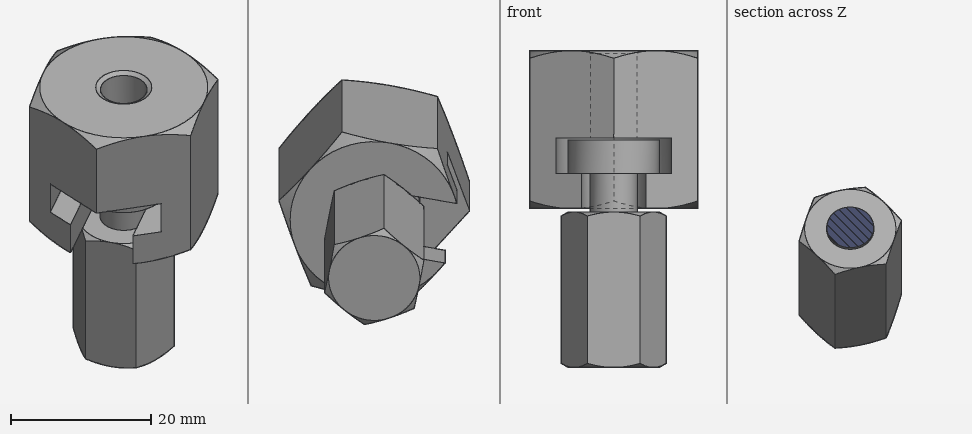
import cadquery as cq
import math

HOUSING_FLATS = 24.0
HOUSING_HEIGHT = 22.5
BORE_DIAMETER = 6.65
BORE_MOUTH_DIAMETER = 8.0

HEAD_SLOT_WIDTH = 16.5
HEAD_SLOT_HEIGHT = 5.0
NECK_SLOT_WIDTH = 9.25
LIP_HEIGHT = 5.0

PIN_FLATS = 13.0
HEAD_DIAMETER = 13.0
HEAD_CLEARANCE = 0.25
NECK_DIAMETER = 6.8
SHANK_GAP = 0.5

TOTAL_HEIGHT = 45.2
CHAMFER_ANGLE = 30.0

housing_bottom = TOTAL_HEIGHT - HOUSING_HEIGHT
slot_floor = housing_bottom + LIP_HEIGHT
shank_top = housing_bottom - SHANK_GAP
head_height = HEAD_SLOT_HEIGHT - HEAD_CLEARANCE


def chamfered_hexagon(flats, height, base_z, rotation):
    """Hexagonal prism whose corners are turned off conically at both ends."""
    flat_radius = flats / 2
    corner_radius = flat_radius / math.cos(math.radians(30))
    corner_drop = (corner_radius - flat_radius) * math.tan(math.radians(CHAMFER_ANGLE))
    prism = (
        cq.Workplane("XY")
        .polygon(6, 2 * corner_radius)
        .extrude(height)
        .rotate((0, 0, 0), (0, 0, 1), rotation)
    )
    turned_envelope = (
        cq.Workplane("XZ")
        .moveTo(0, 0)
        .lineTo(flat_radius, 0)
        .lineTo(corner_radius, corner_drop)
        .lineTo(corner_radius, height - corner_drop)
        .lineTo(flat_radius, height)
        .lineTo(0, height)
        .close()
        .revolve(360, (0, 0, 0), (0, 1, 0))
    )
    return prism.intersect(turned_envelope).translate((0, 0, base_z))


def open_slot(width, height, base_z):
    """Slot cutter with a round end about the Z axis, running out through -Y."""
    radius = width / 2
    slot_reach = HOUSING_FLATS
    return (
        cq.Workplane("XY")
        .workplane(offset=base_z)
        .moveTo(-radius, -slot_reach)
        .lineTo(-radius, 0)
        .threePointArc((0, radius), (radius, 0))
        .lineTo(radius, -slot_reach)
        .close()
        .extrude(height)
    )


def cylinder(diameter, height, base_z):
    return cq.Workplane("XY").workplane(offset=base_z).circle(diameter / 2).extrude(height)


def countersunk_bore():
    """Bore from the top face down into the head slot, with a shallow conical mouth."""
    bore_radius = BORE_DIAMETER / 2
    mouth_radius = BORE_MOUTH_DIAMETER / 2
    mouth_depth = (mouth_radius - bore_radius) * math.tan(math.radians(CHAMFER_ANGLE))
    return (
        cq.Workplane("XZ")
        .moveTo(0, slot_floor)
        .lineTo(bore_radius, slot_floor)
        .lineTo(bore_radius, TOTAL_HEIGHT - mouth_depth)
        .lineTo(mouth_radius, TOTAL_HEIGHT)
        .lineTo(0, TOTAL_HEIGHT)
        .close()
        .revolve(360, (0, 0, 0), (0, 1, 0))
    )


def make_housing():
    body = chamfered_hexagon(HOUSING_FLATS, HOUSING_HEIGHT, housing_bottom, 30)
    body = body.cut(open_slot(HEAD_SLOT_WIDTH, HEAD_SLOT_HEIGHT, slot_floor))
    body = body.cut(open_slot(NECK_SLOT_WIDTH, LIP_HEIGHT, housing_bottom))
    return body.cut(countersunk_bore())


def make_pin():
    shank = chamfered_hexagon(PIN_FLATS, shank_top, 0, 0)
    neck = cylinder(NECK_DIAMETER, slot_floor - shank_top, shank_top)
    head = cylinder(HEAD_DIAMETER, head_height, slot_floor)
    return shank.union(neck).union(head)


housing = make_housing().solids()
pin = make_pin().solids()

result = cq.Compound.makeCompound([housing.val(), pin.val()])